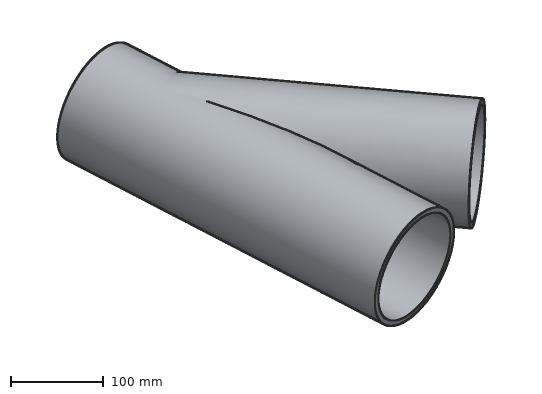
import cadquery as cq

outer_diameter = 141.3
inner_diameter = 128.19
run_length = 431.8
branch_angle = 30.0
branch_length = 342.9
inlet_to_crossing = 88.9


def run_cylinder(diameter):
    """Full-length cylinder on the run axis; the origin is the axis crossing."""
    inlet_plane = cq.Workplane("YZ", origin=(-inlet_to_crossing, 0, 0))
    return inlet_plane.circle(diameter / 2).extrude(run_length)


def branch_cylinder(diameter):
    """Cylinder from the axis crossing out along the branch axis."""
    straight = cq.Workplane("YZ").circle(diameter / 2).extrude(branch_length)
    return straight.rotate((0, 0, 0), (0, 0, 1), branch_angle)


outer_body = run_cylinder(outer_diameter).union(branch_cylinder(outer_diameter))
bores = run_cylinder(inner_diameter).union(branch_cylinder(inner_diameter))

result = outer_body.cut(bores)